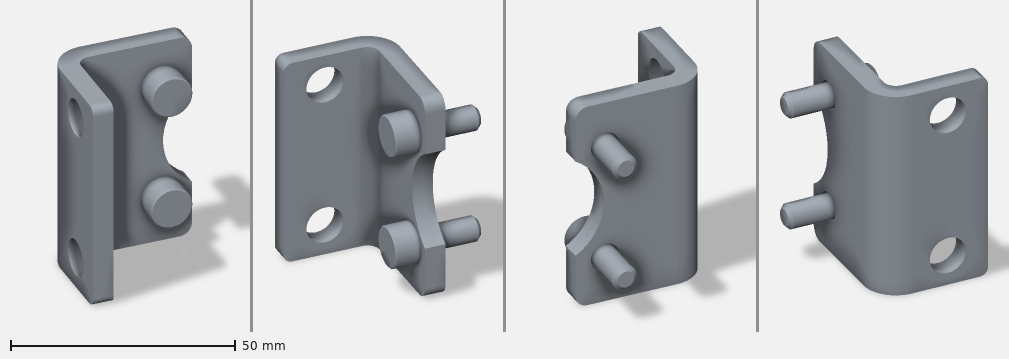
import cadquery as cq

height = 51.0
thickness = 5.0
flange_length = 27.0
web_length = 33.0
inner_bend_radius = 3.0
outer_bend_radius = inner_bend_radius + thickness
flange_corner_radius = 2.05
web_corner_radius = 3.0

mount_hole_diameter = 9.0
mount_hole_x = 17.0
mount_hole_spacing = 36.0

cutout_radius = 14.0
cutout_depth = 7.0
cutout_center_y = web_length - cutout_depth + cutout_radius

screw_y = 25.7
screw_spacing = 28.5
clearance_diameter = 7.0
shank_diameter = 6.0
shank_protrusion = 11.0
tip_chamfer = 0.95
head_diameter = 10.0
head_height = 6.0
head_chamfer = 0.3


def make_bracket():
    bracket = (
        cq.Workplane("XY")
        .workplane(offset=-height / 2)
        .moveTo(outer_bend_radius, 0)
        .lineTo(flange_length, 0)
        .lineTo(flange_length, thickness)
        .lineTo(outer_bend_radius, thickness)
        .radiusArc((thickness, outer_bend_radius), inner_bend_radius)
        .lineTo(thickness, web_length)
        .lineTo(0, web_length)
        .lineTo(0, outer_bend_radius)
        .radiusArc((outer_bend_radius, 0), -outer_bend_radius)
        .close()
        .extrude(height)
    )
    bracket = bracket.faces(">X").edges("|Y").fillet(flange_corner_radius)
    bracket = bracket.faces(">Y").edges("|X").fillet(web_corner_radius)

    mount_holes = (
        cq.Workplane("XZ")
        .pushPoints([(mount_hole_x, side * mount_hole_spacing / 2) for side in (-1, 1)])
        .circle(mount_hole_diameter / 2)
        .extrude(-thickness)
    )
    clearance_holes = (
        cq.Workplane("YZ")
        .pushPoints([(screw_y, side * screw_spacing / 2) for side in (-1, 1)])
        .circle(clearance_diameter / 2)
        .extrude(thickness)
    )
    cutout = cq.Workplane("YZ").center(cutout_center_y, 0).circle(cutout_radius).extrude(thickness)
    return bracket.cut(mount_holes).cut(clearance_holes).cut(cutout)


def make_screw(z):
    """Cap screw along X, its head seated on the inner face of the web."""
    shank = (
        cq.Workplane("YZ", origin=(-shank_protrusion, screw_y, z))
        .circle(shank_diameter / 2)
        .extrude(shank_protrusion + thickness)
        .faces("<X")
        .chamfer(tip_chamfer)
    )
    head = (
        cq.Workplane("YZ", origin=(thickness, screw_y, z))
        .circle(head_diameter / 2)
        .extrude(head_height)
        .faces(">X")
        .chamfer(head_chamfer)
    )
    return shank.union(head)


bracket = make_bracket()
screws = [make_screw(side * screw_spacing / 2) for side in (-1, 1)]

result = cq.Compound.makeCompound([bracket.val(), *[screw.val() for screw in screws]])